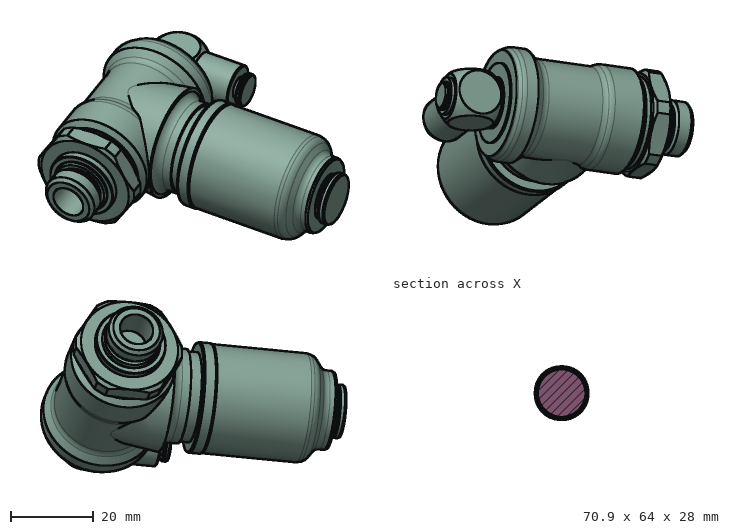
import cadquery as cq
import math


overall_length = 70.85
flange_r = 28.0 / 2
flange_top_y = 18.35
flange_lip_r = 13.0
flange_lip_y = 18.0
flange_lip_taper = 0.2
flange_slope_end_r = 13.7
flange_slope_end_y = 17.1
flange_rim_top_y = 15.95
flange_rim_bottom_y = 13.05
neck_cone_end_r = 12.55
neck_cone_end_y = 11.1
neck_r = 12.05
neck_top_y = 9.4
neck_bottom_y = -4.7
shoulder_y = -7.6
skirt_r = 12.9
skirt_bottom_y = -15.1
skirt_chamfer_end_r = 11.2
skirt_end_y = -16.15

collar_r = 11.35
collar_end_y = -17.7
collar_chamfer = 0.35
hex_gap_r = 10.5
hex_sides = 6
hex_top_y = -18.0
hex_height = 4.6
hex_across_flats = 24.1
hex_corner_r = 13.1
hex_face_r = 12.0
hex_chamfer_angle = 30
seal_r = 8.6
seal_end_y = -24.5
seal_chamfer = 0.15
seal_step_r = 7.15
seal_step_end_y = -25.3
seal_step_chamfer = 0.5
undercut_r = 5.7
undercut_end_y = -25.7
runout_r = 5.8
runout_start_y = -26.0
runout_end_y = -26.35
thread_r = 6.65
thread_start_y = -27.1
thread_end_y = -31.2
thread_chamfer = 0.9
bore_r = 8.15 / 2
bore_depth = 8.5

branch_flare_r = flange_r
branch_flare_x = 13.0
branch_fillet_r = 13.1
branch_fillet_end_x = 15.3
branch_r = 23.0 / 2
branch_end_x = 17.5
sleeve_gap_r = 11.0
sleeve_start_x = 20.2
sleeve_band_r = 13.45
sleeve_band_end_x = 23.6
sleeve_band_chamfer = 0.4
sleeve_r = 26.6 / 2
sleeve_taper_x = 46.8
sleeve_taper_end_x = 47.7
sleeve_taper_end_r = 13.1
sleeve_slope_x = 49.3
sleeve_slope_r = 12.0
sleeve_slope_end_x = 50.45
sleeve_slope_end_r = 10.5
nose_x = 52.15
nose_r = 9.65
nose_end_x = 54.0
nose_chamfer = 0.6
nose_step_r = 5.8
nose_step_end_x = 54.2
release_neck_r = 4.6
release_r = 6.5
release_start_x = 55.05
release_end_x = overall_length - flange_r
release_chamfer_length = 0.4
release_chamfer_depth = 0.2

washer_r = 9.8
washer_height = 0.4
washer_step_r = 6.3
washer_step_height = 0.2
cube_size = 12.05
cube_center_y = 24.95
cube_face_r = 11.0 / 2
cap_r = 4.5
cap_top_y = 31.9
cap_button_r = 3.5
cap_button_top_y = 32.8
cap_button_chamfer = 0.4
port_r = cube_face_r
port_end_x = 16.5
port_edge_chamfer = 0.2
port_neck_r = 5.3 / 2
port_release_r = 4.1
port_release_start_x = 17.8
port_release_end_x = 19.3


def disc_y(radius, start_y, end_y):
    """Cylinder about the Y axis between two heights."""
    plane = cq.Workplane("XZ", origin=(0, start_y, 0))
    return plane.circle(radius).extrude(start_y - end_y)


def disc_x(radius, start_x, end_x, center_y=0):
    """Cylinder about a line parallel to the X axis."""
    plane = cq.Workplane("YZ", origin=(start_x, center_y, 0))
    return plane.circle(radius).extrude(end_x - start_x)


def revolve_y(profile):
    """Turn a closed (radius, y) profile about the Y axis."""
    return profile.close().revolve(360, (0, 0, 0), (0, 1, 0))


def revolve_x(profile):
    """Turn a closed (x, radius) profile about the X axis."""
    return profile.close().revolve(360, (0, 0, 0), (1, 0, 0))


def make_body():
    profile = (
        cq.Workplane("XY")
        .moveTo(0, flange_top_y)
        .lineTo(flange_lip_r, flange_top_y)
        .lineTo(flange_lip_r + flange_lip_taper, flange_lip_y)
        .lineTo(flange_slope_end_r, flange_slope_end_y)
        .tangentArcPoint((flange_r, flange_rim_top_y), relative=False)
        .lineTo(flange_r, flange_rim_bottom_y)
        .lineTo(neck_cone_end_r, neck_cone_end_y)
        .tangentArcPoint((neck_r, neck_top_y), relative=False)
        .lineTo(neck_r, neck_bottom_y)
        .tangentArcPoint(((neck_r + skirt_r) / 2, (neck_bottom_y + shoulder_y) / 2), relative=False)
        .tangentArcPoint((skirt_r, shoulder_y), relative=False)
        .lineTo(skirt_r, skirt_bottom_y)
        .lineTo(skirt_chamfer_end_r, skirt_end_y)
        .lineTo(0, skirt_end_y)
    )
    return revolve_y(profile)


def make_hexagon():
    hex_bottom_y = hex_top_y - hex_height
    plane = cq.Workplane("XZ", origin=(0, hex_top_y, 0))
    prism = plane.polygon(hex_sides, hex_across_flats, circumscribed=True).extrude(hex_height)
    prism = prism.rotate((0, 0, 0), (0, 1, 0), 180 / hex_sides)
    chamfer_height = (hex_corner_r - hex_face_r) * math.tan(math.radians(hex_chamfer_angle))
    envelope = revolve_y(
        cq.Workplane("XY")
        .moveTo(0, hex_top_y)
        .lineTo(hex_face_r, hex_top_y)
        .lineTo(hex_corner_r, hex_top_y - chamfer_height)
        .lineTo(hex_corner_r, hex_bottom_y + chamfer_height)
        .lineTo(hex_face_r, hex_bottom_y)
        .lineTo(0, hex_bottom_y)
    )
    return prism.intersect(envelope)


def make_stud():
    collar = disc_y(collar_r, skirt_end_y, collar_end_y).faces(">Y").chamfer(collar_chamfer)
    hex_gap = disc_y(hex_gap_r, collar_end_y, hex_top_y)
    seal = disc_y(seal_r, hex_top_y - hex_height, seal_end_y).faces("<Y").chamfer(seal_chamfer)
    seal_step = disc_y(seal_step_r, seal_end_y, seal_step_end_y)
    seal_step = seal_step.faces("<Y").chamfer(seal_step_chamfer)
    thread = revolve_y(
        cq.Workplane("XY")
        .moveTo(0, seal_step_end_y)
        .lineTo(undercut_r, seal_step_end_y)
        .lineTo(undercut_r, undercut_end_y)
        .lineTo(runout_r, runout_start_y)
        .lineTo(runout_r, runout_end_y)
        .lineTo(thread_r, thread_start_y)
        .lineTo(thread_r, thread_end_y + thread_chamfer)
        .lineTo(thread_r - thread_chamfer, thread_end_y)
        .lineTo(0, thread_end_y)
    )
    stud = collar.union(hex_gap).union(make_hexagon()).union(seal).union(seal_step).union(thread)
    return stud.cut(disc_y(bore_r, thread_end_y + bore_depth, thread_end_y))


def make_branch():
    flare = revolve_x(
        cq.Workplane("XY")
        .moveTo(0, 0)
        .lineTo(0, neck_r)
        .lineTo(branch_flare_x, branch_flare_r)
        .lineTo(branch_flare_x, 0)
    )
    neck = revolve_x(
        cq.Workplane("XY")
        .moveTo(branch_flare_x, 0)
        .lineTo(sleeve_start_x, 0)
        .lineTo(sleeve_start_x, sleeve_gap_r)
        .lineTo(branch_end_x, sleeve_gap_r)
        .lineTo(branch_end_x, branch_r)
        .lineTo(branch_fillet_end_x, branch_r)
        .tangentArcPoint((branch_flare_x, branch_fillet_r), relative=False)
    )
    return flare.union(neck)


def make_sleeve():
    sleeve = revolve_x(
        cq.Workplane("XY")
        .moveTo(sleeve_start_x, 0)
        .lineTo(sleeve_start_x, sleeve_r)
        .lineTo(sleeve_start_x + sleeve_band_chamfer, sleeve_band_r)
        .lineTo(sleeve_band_end_x - sleeve_band_chamfer, sleeve_band_r)
        .lineTo(sleeve_band_end_x, sleeve_r)
        .lineTo(sleeve_taper_x, sleeve_r)
        .lineTo(sleeve_taper_end_x, sleeve_taper_end_r)
        .tangentArcPoint((sleeve_slope_x, sleeve_slope_r), relative=False)
        .lineTo(sleeve_slope_end_x, sleeve_slope_end_r)
        .tangentArcPoint((nose_x, nose_r), relative=False)
        .lineTo(nose_end_x - nose_chamfer, nose_r)
        .lineTo(nose_end_x, nose_r - nose_chamfer / 2)
        .lineTo(nose_end_x, 0)
    )
    step = disc_x(nose_step_r, nose_end_x, nose_step_end_x)
    neck = disc_x(release_neck_r, nose_step_end_x, release_start_x)
    ring = make_release_ring(release_r, release_start_x, release_end_x, 0)
    return sleeve.union(step).union(neck).union(ring)


def make_release_ring(radius, start_x, end_x, center_y):
    """Push-to-release ring with slightly bevelled edges."""
    ring = disc_x(radius, start_x, end_x, center_y)
    return ring.edges().chamfer(release_chamfer_length, release_chamfer_depth)


def make_elbow():
    washer_top_y = flange_top_y + washer_height
    cube_top_y = cube_center_y + cube_size / 2
    center = (0, cube_center_y, 0)

    washer = disc_y(washer_r, washer_top_y, flange_top_y)
    washer_step = disc_y(washer_step_r, washer_top_y + washer_step_height, washer_top_y)

    sphere_r = math.hypot(cube_size / 2, cube_face_r)
    cube = cq.Workplane("XY").box(cube_size, cube_size, cube_size).translate(center)
    cube = cube.intersect(cq.Workplane("XY").sphere(sphere_r).translate(center))

    cap = disc_y(cap_r, cap_top_y, cube_top_y)
    button = disc_y(cap_button_r, cap_button_top_y, cap_top_y).faces(">Y").chamfer(cap_button_chamfer)

    port = disc_x(port_r, 0, port_end_x, cube_center_y).faces(">X").chamfer(port_edge_chamfer)
    port_neck = disc_x(port_neck_r, port_end_x, port_release_start_x, cube_center_y)
    ring = make_release_ring(port_release_r, port_release_start_x, port_release_end_x, cube_center_y)

    elbow = washer.union(washer_step).union(cube).union(cap).union(button)
    return elbow.union(port).union(port_neck).union(ring)


result = make_body().union(make_stud()).union(make_branch()).union(make_sleeve()).union(make_elbow())